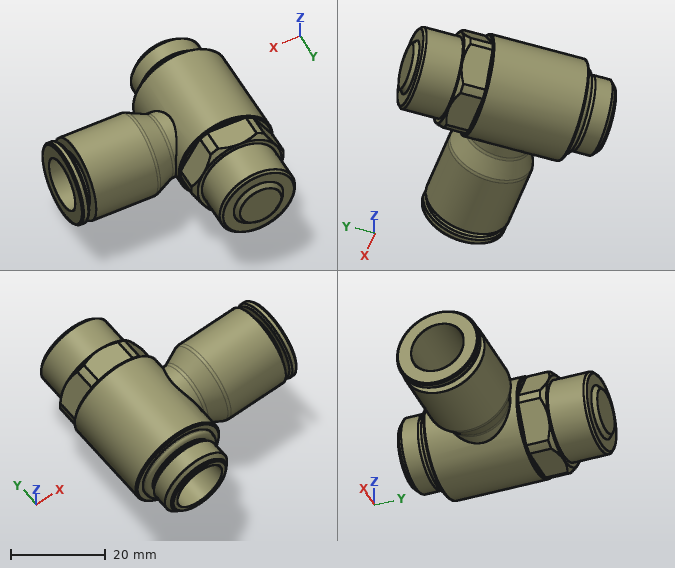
import cadquery as cq
import math


BODY_RADIUS = 11.2
BODY_FRONT = -12.55
BODY_BACK = 9.0
BODY_CHAMFER = 0.3

HEX_FLATS = 20.0
HEX_CORNER_RADIUS = 11.0
HEX_LENGTH = 6.0
HEX_CHAMFER = 1.0

CAP_RADIUS = 9.0
CAP_LENGTH = 8.65
CAP_CHAMFER = 0.55
TIP_BASE_RADIUS = 5.9
TIP_HEIGHT = 0.95

SEAL_RADIUS = 9.5
SEAL_ROUND = 1.0
SEAL_LENGTH = 1.45
SPIGOT_RADIUS = 8.35
SPIGOT_LENGTH = 5.95
SPIGOT_NECK_RADIUS = SEAL_RADIUS - 2 * SEAL_ROUND
SPIGOT_CHAMFER = 0.9
SPIGOT_LIP_LENGTH = 0.35
SPIGOT_LIP_RADIUS = 7.2
SPIGOT_END_RADIUS = 7.05

NECK_RADIUS = 7.3
SOCKET_RADIUS = 9.45
FLARE_START = 11.65
FLARE_END = 16.22
FLARE_BLEND = 1.7
SOCKET_END = 31.3
SLEEVE_RADIUS = 6.6
FLANGE_RADIUS = 9.3
FLANGE_START = 32.68
BRANCH_END = 34.5
FLANGE_INNER_CHAMFER = 0.45
FLANGE_OUTER_CHAMFER = 0.3

BORE_RADIUS = 6.0

HEX_BACK = BODY_BACK + HEX_LENGTH
CAP_BACK = HEX_BACK + CAP_LENGTH
SEAL_FRONT = BODY_FRONT - SEAL_LENGTH
SPIGOT_BACK = SEAL_FRONT - (SPIGOT_RADIUS - SPIGOT_NECK_RADIUS)
SPIGOT_FRONT = SEAL_FRONT - SPIGOT_LENGTH


def y_rod(radius, start, end):
    """Cylinder on the main axis from y = start to y = end."""
    return cq.Workplane("XZ", origin=(0, start, 0)).circle(radius).extrude(start - end)


def x_rod(radius, start, end):
    """Cylinder on the branch axis from x = start to x = end."""
    return cq.Workplane("YZ", origin=(start, 0, 0)).circle(radius).extrude(end - start)


def make_body():
    return y_rod(BODY_RADIUS, BODY_FRONT, BODY_BACK).edges("%CIRCLE").chamfer(BODY_CHAMFER)


def make_hexagon():
    corner_diameter = HEX_FLATS / math.cos(math.pi / 6)
    prism = (
        cq.Workplane("XZ", origin=(0, BODY_BACK, 0))
        .polygon(6, corner_diameter)
        .extrude(-HEX_LENGTH)
    )
    turned_blank = y_rod(HEX_CORNER_RADIUS, BODY_BACK, HEX_BACK).faces(">Y").chamfer(HEX_CHAMFER)
    return prism.intersect(turned_blank)


def make_cap():
    cap = y_rod(CAP_RADIUS, HEX_BACK, CAP_BACK).faces(">Y").chamfer(CAP_CHAMFER)
    tip = (
        cq.Workplane("XZ", origin=(0, CAP_BACK, 0))
        .circle(TIP_BASE_RADIUS)
        .extrude(-TIP_HEIGHT, taper=45)
    )
    return cap.union(tip)


def make_spigot():
    """Seal ring, 45 degree neck, thread and end lip, turned about the main axis."""
    seal_middle = SEAL_FRONT + SEAL_ROUND
    lip_back = SPIGOT_FRONT + SPIGOT_LIP_LENGTH
    return (
        cq.Workplane("XY")
        .moveTo(0, BODY_FRONT)
        .lineTo(SEAL_RADIUS, BODY_FRONT)
        .lineTo(SEAL_RADIUS, seal_middle)
        .threePointArc((SEAL_RADIUS - SEAL_ROUND, SEAL_FRONT), (SPIGOT_NECK_RADIUS, seal_middle))
        .lineTo(SPIGOT_NECK_RADIUS, SEAL_FRONT)
        .lineTo(SPIGOT_RADIUS, SPIGOT_BACK)
        .lineTo(SPIGOT_RADIUS, lip_back + SPIGOT_CHAMFER)
        .lineTo(SPIGOT_RADIUS - SPIGOT_CHAMFER, lip_back)
        .lineTo(SPIGOT_LIP_RADIUS, lip_back)
        .lineTo(SPIGOT_END_RADIUS, SPIGOT_FRONT)
        .lineTo(0, SPIGOT_FRONT)
        .close()
        .revolve(360, (0, 0, 0), (0, 1, 0))
    )


def make_branch():
    """Neck flaring out to the socket, then the release sleeve with its flange."""
    socket = (
        cq.Workplane("XY")
        .lineTo(0, NECK_RADIUS)
        .lineTo(FLARE_START, NECK_RADIUS)
        .lineTo(FLARE_END, SOCKET_RADIUS)
        .lineTo(SOCKET_END, SOCKET_RADIUS)
        .lineTo(SOCKET_END, 0)
        .close()
        .revolve(360, (0, 0, 0), (1, 0, 0))
    )
    for flare_edge_x in (FLARE_START, FLARE_END):
        flare_edge = cq.selectors.NearestToPointSelector((flare_edge_x, 0, 0))
        socket = socket.edges(flare_edge).fillet(FLARE_BLEND)
    sleeve = x_rod(SLEEVE_RADIUS, SOCKET_END, FLANGE_START)
    flange = (
        x_rod(FLANGE_RADIUS, FLANGE_START, BRANCH_END)
        .faces("<X").chamfer(FLANGE_INNER_CHAMFER)
        .faces(">X").chamfer(FLANGE_OUTER_CHAMFER)
    )
    return socket.union(sleeve).union(flange)


def make_passage():
    """Two equal bores that meet in a round elbow."""
    spigot_bore = y_rod(BORE_RADIUS, SPIGOT_FRONT, 0)
    branch_bore = x_rod(BORE_RADIUS, 0, BRANCH_END)
    elbow = cq.Workplane("XY").sphere(BORE_RADIUS)
    return spigot_bore.union(branch_bore).union(elbow)


result = (
    make_body()
    .union(make_hexagon())
    .union(make_cap())
    .union(make_spigot())
    .union(make_branch())
    .cut(make_passage())
)